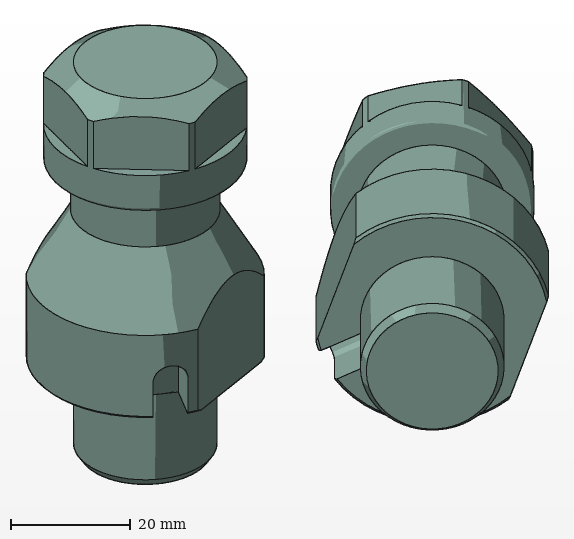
import cadquery as cq
import math

STUD_LENGTH = 18.0
CONE_BASE_Z = 16.2
NECK_BASE_Z = 29.0
FLANGE_BASE_Z = 38.5
HEAD_BASE_Z = 45.5
TOP_Z = 57.5

STUD_DIAMETER = 24.0
BODY_DIAMETER = 39.8
NECK_DIAMETER = 25.0
FLANGE_DIAMETER = 34.0
HEAD_TOP_DIAMETER = 24.0

HEX_SIDES = 6
HEX_ACROSS_FLATS = 30.0
BODY_ACROSS_FLATS = 34.0

STUD_CHAMFER_WIDTH = 1.0
STUD_CHAMFER_HEIGHT = 1.5
HEAD_CHAMFER_ANGLE = 30.0
BODY_CHAMFER = 0.5
FLANGE_FILLET = 0.6

SLOT_WIDTH = 6.0
SLOT_END_CENTRE_Z = 7.0
SLOT_DIRECTION = -45.0
SLOT_FLOOR_RADIUS = STUD_DIAMETER / 2


def turned_body():
    """Stud, body, cone, neck and flange as one revolved profile, with the flange stock up to the top."""
    stud_r = STUD_DIAMETER / 2
    body_r = BODY_DIAMETER / 2
    neck_r = NECK_DIAMETER / 2
    flange_r = FLANGE_DIAMETER / 2
    top_r = HEAD_TOP_DIAMETER / 2
    head_chamfer_height = (flange_r - top_r) * math.tan(math.radians(HEAD_CHAMFER_ANGLE))
    fillet_setback = FLANGE_FILLET * (1 - math.sqrt(0.5))
    return (
        cq.Workplane("XZ")
        .moveTo(0, -STUD_LENGTH)
        .lineTo(stud_r - STUD_CHAMFER_WIDTH, -STUD_LENGTH)
        .lineTo(stud_r, -STUD_LENGTH + STUD_CHAMFER_HEIGHT)
        .lineTo(stud_r, 0)
        .lineTo(body_r - BODY_CHAMFER, 0)
        .lineTo(body_r, BODY_CHAMFER)
        .lineTo(body_r, CONE_BASE_Z)
        .lineTo(neck_r, NECK_BASE_Z)
        .lineTo(neck_r, FLANGE_BASE_Z)
        .lineTo(flange_r - FLANGE_FILLET, FLANGE_BASE_Z)
        .threePointArc(
            (flange_r - fillet_setback, FLANGE_BASE_Z + fillet_setback),
            (flange_r, FLANGE_BASE_Z + FLANGE_FILLET),
        )
        .lineTo(flange_r, TOP_Z - head_chamfer_height)
        .lineTo(top_r, TOP_Z)
        .lineTo(0, TOP_Z)
        .close()
        .revolve(360, (0, 0, 0), (0, 1, 0))
    )


def hex_head_waste():
    """Ring of stock around the hexagonal head, with two hexagon corners on the Y axis."""
    hex_across_corners = HEX_ACROSS_FLATS / math.cos(math.pi / HEX_SIDES)
    head_height = TOP_Z - HEAD_BASE_Z
    stock = cq.Workplane("XY").workplane(offset=HEAD_BASE_Z).circle(BODY_DIAMETER / 2).extrude(head_height)
    hexagon = (
        cq.Workplane("XY")
        .workplane(offset=HEAD_BASE_Z)
        .transformed(rotate=(0, 0, 90))
        .polygon(HEX_SIDES, hex_across_corners)
        .extrude(head_height)
    )
    return stock.cut(hexagon)


def wrench_flat_envelope():
    """Slab that leaves two parallel flats on the body, facing -X and +X."""
    return (
        cq.Workplane("XY")
        .workplane(offset=-STUD_LENGTH)
        .rect(BODY_ACROSS_FLATS, BODY_DIAMETER)
        .extrude(STUD_LENGTH + TOP_Z)
    )


def locking_slot():
    """Radial slot with a half-round upper end, running down to the shoulder."""
    half_width = SLOT_WIDTH / 2
    depth = BODY_DIAMETER / 2 - SLOT_FLOOR_RADIUS
    return (
        cq.Workplane("YZ")
        .workplane(offset=SLOT_FLOOR_RADIUS)
        .moveTo(-half_width, 0)
        .lineTo(half_width, 0)
        .lineTo(half_width, SLOT_END_CENTRE_Z)
        .threePointArc((0, SLOT_END_CENTRE_Z + half_width), (-half_width, SLOT_END_CENTRE_Z))
        .close()
        .extrude(depth)
        .rotate((0, 0, 0), (0, 0, 1), SLOT_DIRECTION)
    )


result = (
    turned_body()
    .cut(hex_head_waste())
    .intersect(wrench_flat_envelope())
    .cut(locking_slot())
)